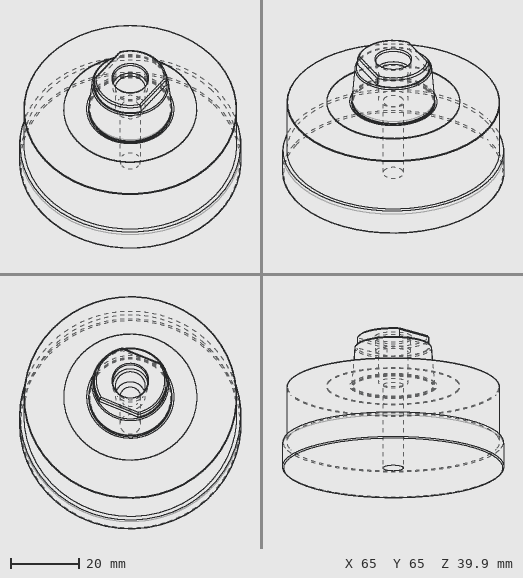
import cadquery as cq

flange_radius = 32.5
flange_height = 7.95
flange_bottom_chamfer = 0.4
flange_taper_height = 1.0
flange_taper_inset = 0.2
drum_radius = 31.2
drum_top = 24.8
drum_edge_chamfer = 0.2

pad_radius = 19.5
pad_top = drum_top + 0.25
groove_outer_radius = 12.8
groove_inner_radius = 12.2
groove_depth = 0.4

neck_bottom_radius = 11.85
neck_radius = 12.1
neck_step_height = 0.3
neck_band_height = 0.65
neck_taper_bottom = pad_top + neck_step_height + neck_band_height
neck_top_radius = 11.25
neck_top = 37.0
neck_top_bevel_width = 0.4
neck_top_bevel_height = 0.4

total_height = 39.9
tenon_radius = 10.55
tenon_flat_distance = 17.1
tenon_chamfer_width = 0.6
tenon_chamfer_height = 0.45

mouth_radius = 5.4
mouth_depth = 0.65
counterbore_radius = 5.15
counterbore_floor = 35.65
bore_radius = 4.35
bore_shoulder_height = 0.4
bore_floor = 26.0
bore_cone_height = 0.8
through_radius = 3.0


def revolve_profile(points):
    """Revolve a closed (radius, z) outline about the Z axis."""
    return cq.Workplane("XZ").polyline(points).close().revolve(360, (0, 0), (0, 1))


def make_base():
    """Flange, drum, pad and neck as one turned body."""
    groove_floor = pad_top - groove_depth
    return revolve_profile([
        (0, 0),
        (flange_radius - flange_bottom_chamfer, 0),
        (flange_radius, flange_bottom_chamfer),
        (flange_radius, flange_height - flange_taper_height),
        (flange_radius - flange_taper_inset, flange_height),
        (drum_radius, flange_height),
        (drum_radius, drum_top - drum_edge_chamfer),
        (drum_radius - drum_edge_chamfer, drum_top),
        (pad_radius, drum_top),
        (pad_radius, pad_top),
        (groove_outer_radius, pad_top),
        (groove_inner_radius, groove_floor),
        (neck_bottom_radius, groove_floor),
        (neck_bottom_radius, pad_top),
        (neck_radius, pad_top + neck_step_height),
        (neck_radius, neck_taper_bottom),
        (neck_top_radius, neck_top - neck_top_bevel_height),
        (neck_top_radius - neck_top_bevel_width, neck_top),
        (0, neck_top),
    ])


def make_tenon():
    """Disc with flats facing -X and +X and a chamfered top rim."""
    disc = cq.Workplane("XY").workplane(offset=neck_top).circle(tenon_radius)
    disc = disc.extrude(total_height - neck_top)
    slab = cq.Workplane("XY").box(
        tenon_flat_distance, 2 * tenon_radius, total_height, centered=(True, True, False)
    )
    tenon = disc.intersect(slab)
    return tenon.faces(">Z").edges().chamfer(tenon_chamfer_height, tenon_chamfer_width)


def make_bore():
    """Cutter for the bevelled mouth, counterbore, bore and through hole."""
    return revolve_profile([
        (0, 0),
        (through_radius, 0),
        (through_radius, bore_floor - bore_cone_height),
        (bore_radius, bore_floor),
        (bore_radius, counterbore_floor - bore_shoulder_height),
        (counterbore_radius, counterbore_floor),
        (counterbore_radius, total_height - mouth_depth),
        (mouth_radius, total_height),
        (0, total_height),
    ])


result = make_base().union(make_tenon()).cut(make_bore())